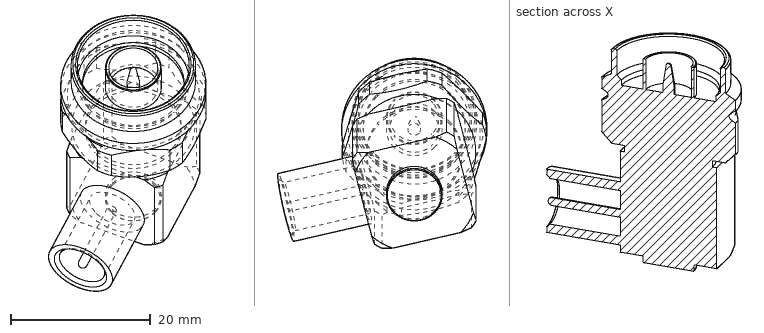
import cadquery as cq
import math


block_width = 15.0
block_bottom = -6.1
block_top = 9.8
block_corner_radius = 10.0
block_corner_chamfer = 1.0

cap_radius = 4.0
cap_bottom = -7.13
cap_chamfer = 0.15

neck_radius = 6.85

nut_bottom = 10.72
nut_radius = 10.4
hex_across_flats = 19.0
hex_sides = 6
nut_bottom_chamfer = 1.6
groove_middle = 18.2
groove_half_width = 0.9
groove_slope = math.radians(30)
groove_root_radius = 0.6
groove_arc_half_width = groove_root_radius * math.cos(groove_slope)
collar_top = 20.85

sleeve_bottom = 21.68
sleeve_top = 25.70
sleeve_radius = 8.9
sleeve_chamfer = 0.25

socket_radius = 8.0
socket_seat_radius = 7.3
socket_seat_top = 20.95
socket_floor = 20.15

contact_outer_radius = 4.0
contact_inner_radius = 3.5
contact_top = 24.9
contact_chamfer = 0.12
plug_pin_radius = 0.9
plug_pin_tip_radius = 0.42
plug_pin_taper_start = 21.4
plug_pin_taper_end = 24.4

tube_end = -18.9
tube_radius = 5.0
tube_bore_radius = 3.54
tube_mouth_chamfer = 0.54
tube_floor = -block_width / 2
tube_pin_radius = 0.65
tube_pin_round_start = tube_end + 0.85


def cylinder(radius, bottom, top):
    """Cylinder on the Z axis between two heights."""
    return cq.Workplane("XY").workplane(offset=bottom).circle(radius).extrude(top - bottom)


def turn(profile):
    """Revolve a closed radius-height profile about the Z axis."""
    return profile.revolve(360, (0, 0, 0), (0, 1, 0))


def tube_cylinder(radius, start, end):
    """Cylinder on the Y axis between two Y positions, start being closer to the block."""
    return cq.Workplane("XZ", origin=(0, start, 0)).circle(radius).extrude(start - end)


def round_tip(radius, center):
    """Ball that rounds off the end of a pin."""
    return cq.Workplane("XY").sphere(radius).translate(center)


def make_block():
    height = block_top - block_bottom
    square = (
        cq.Workplane("XY")
        .workplane(offset=block_bottom)
        .rect(block_width, block_width)
        .extrude(height)
    )
    corner_turning = cylinder(block_corner_radius, block_bottom, block_top)
    corner_turning = corner_turning.faces("<Z or >Z").chamfer(block_corner_chamfer)
    return square.intersect(corner_turning)


def make_cap():
    return cylinder(cap_radius, cap_bottom, block_bottom).faces("<Z").chamfer(cap_chamfer)


def make_nut_body():
    """Turned shape of the nut, collar and sleeve, before the hexagon is milled."""
    arc_edge_radius = nut_radius - (groove_half_width - groove_arc_half_width) / math.tan(groove_slope)
    groove_floor_radius = arc_edge_radius - groove_root_radius * (1 - math.sin(groove_slope))
    profile = (
        cq.Workplane("XZ")
        .moveTo(0, nut_bottom)
        .lineTo(nut_radius - nut_bottom_chamfer, nut_bottom)
        .lineTo(nut_radius, nut_bottom + nut_bottom_chamfer)
        .lineTo(nut_radius, groove_middle - groove_half_width)
        .lineTo(arc_edge_radius, groove_middle - groove_arc_half_width)
        .threePointArc(
            (groove_floor_radius, groove_middle),
            (arc_edge_radius, groove_middle + groove_arc_half_width),
        )
        .lineTo(nut_radius, groove_middle + groove_half_width)
        .lineTo(nut_radius, collar_top)
        .lineTo(sleeve_radius, sleeve_bottom)
        .lineTo(sleeve_radius, sleeve_top - sleeve_chamfer)
        .lineTo(sleeve_radius - sleeve_chamfer, sleeve_top)
        .lineTo(0, sleeve_top)
        .close()
    )
    return turn(profile)


def cut_hexagon(nut):
    """Mill six flats, two of them facing -X and +X, up to the middle of the groove."""
    across_corners = hex_across_flats / math.cos(math.pi / hex_sides)
    height = groove_middle - nut_bottom
    hexagon = (
        cq.Workplane("XY")
        .workplane(offset=nut_bottom)
        .transformed(rotate=(0, 0, 180 / hex_sides))
        .polygon(hex_sides, across_corners)
        .extrude(height)
    )
    waste = cylinder(nut_radius, nut_bottom, groove_middle).cut(hexagon)
    return nut.cut(waste)


def make_socket():
    """Cavity of the sleeve: chamfered mouth, straight bore, conical step and seat."""
    step_top = socket_seat_top + socket_radius - socket_seat_radius
    profile = (
        cq.Workplane("XZ")
        .moveTo(0, socket_floor)
        .lineTo(socket_seat_radius, socket_floor)
        .lineTo(socket_seat_radius, socket_seat_top)
        .lineTo(socket_radius, step_top)
        .lineTo(socket_radius, sleeve_top - sleeve_chamfer)
        .lineTo(socket_radius + sleeve_chamfer, sleeve_top)
        .lineTo(0, sleeve_top)
        .close()
    )
    return turn(profile)


def make_contact_ring():
    ring = cylinder(contact_outer_radius, socket_floor, contact_top)
    ring = ring.faces(">Z").chamfer(contact_chamfer)
    return ring.cut(cylinder(contact_inner_radius, socket_floor, contact_top))


def make_plug_pin():
    profile = (
        cq.Workplane("XZ")
        .moveTo(0, socket_floor)
        .lineTo(plug_pin_radius, socket_floor)
        .lineTo(plug_pin_radius, plug_pin_taper_start)
        .lineTo(plug_pin_tip_radius, plug_pin_taper_end)
        .lineTo(0, plug_pin_taper_end)
        .close()
    )
    shank = turn(profile)
    return shank.union(round_tip(plug_pin_tip_radius, (0, 0, plug_pin_taper_end)))


def make_tube():
    tube = tube_cylinder(tube_radius, tube_floor, tube_end)
    tube = tube.cut(tube_cylinder(tube_bore_radius, tube_floor, tube_end))
    mouth_edge = tube.faces("<Y").edges(cq.selectors.RadiusNthSelector(0))
    return mouth_edge.chamfer(tube_mouth_chamfer)


def make_tube_pin():
    shank = tube_cylinder(tube_pin_radius, tube_floor, tube_pin_round_start)
    return shank.union(round_tip(tube_pin_radius, (0, tube_pin_round_start, 0)))


nut = cut_hexagon(make_nut_body()).cut(make_socket())
result = (
    make_block()
    .union(make_cap())
    .union(cylinder(neck_radius, block_top, nut_bottom))
    .union(nut)
    .union(make_contact_ring())
    .union(make_plug_pin())
    .union(make_tube())
    .union(make_tube_pin())
)